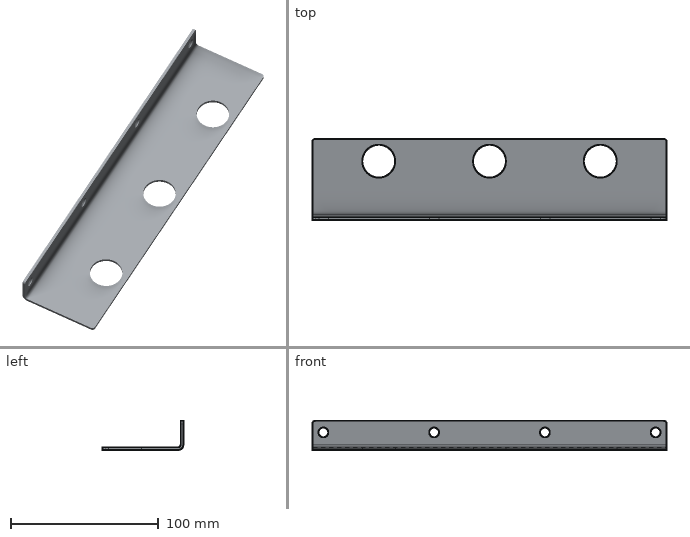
import cadquery as cq

length = 240.0
depth = 55.0
height = 20.0

thickness = 2.0
inner_bend_radius = thickness
outer_bend_radius = inner_bend_radius + thickness
corner_radius = 2.0

hole_pitch = length * 5 / 16
small_hole_count = 4
small_hole_diameter = 6.5
small_hole_height = 12.0
large_hole_count = small_hole_count - 1
large_hole_diameter = 22.0
large_hole_back_distance = 15.0


def centered_row(count, cross_position):
    """Points at the hole pitch, centred on the bracket length."""
    first = -hole_pitch * (count - 1) / 2
    return [(first + i * hole_pitch, cross_position) for i in range(count)]


def bent_sheet():
    """L-shaped sheet: flat base along Y, flange rising at the front."""
    blank = (
        cq.Workplane("YZ")
        .polyline([
            (0, 0),
            (depth, 0),
            (depth, thickness),
            (thickness, thickness),
            (thickness, height),
            (0, height),
        ])
        .close()
        .extrude(length / 2, both=True)
    )
    outer_edge = cq.selectors.NearestToPointSelector((0, 0, 0))
    inner_edge = cq.selectors.NearestToPointSelector((0, thickness, thickness))
    rounded = blank.edges("|X").edges(outer_edge).fillet(outer_bend_radius)
    return rounded.edges("|X").edges(inner_edge).fillet(inner_bend_radius)


bracket = bent_sheet()
bracket = bracket.faces(">Y").edges("|Z").fillet(corner_radius)
bracket = bracket.faces(">Z").edges("|Y").fillet(corner_radius)

base_holes = (
    cq.Workplane("XY")
    .pushPoints(centered_row(large_hole_count, depth - large_hole_back_distance))
    .circle(large_hole_diameter / 2)
    .extrude(thickness)
)

flange_holes = (
    cq.Workplane("XZ")
    .pushPoints(centered_row(small_hole_count, small_hole_height))
    .circle(small_hole_diameter / 2)
    .extrude(-thickness)
)

result = bracket.cut(base_holes).cut(flange_holes)